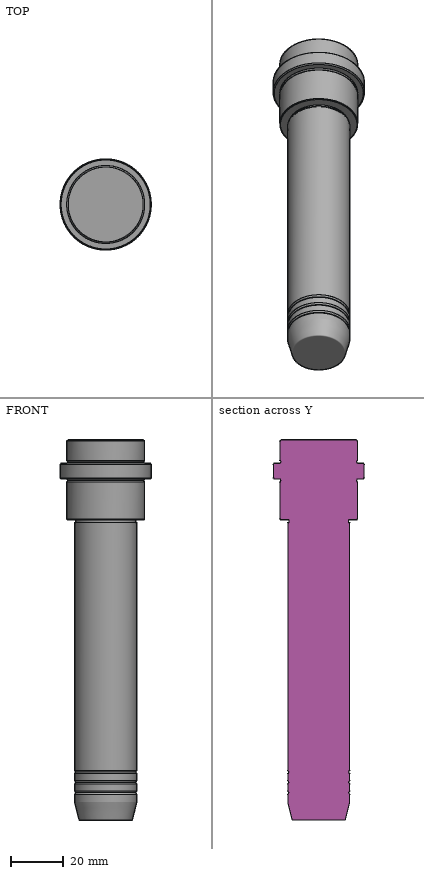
import cadquery as cq

TOTAL_LENGTH = 146.0
FLANGE_DIAMETER = 35.0
HEAD_DIAMETER = 30.0
SHAFT_DIAMETER = 24.0

HEAD_ABOVE_FLANGE = 9.0
FLANGE_THICKNESS = 6.1
COLLAR_BELOW_FLANGE = 15.6

TAPER_LENGTH = 7.0
TIP_RADIUS = 10.2
TIP_FILLET = 0.5

HEAD_CHAMFER = 0.6
COLLAR_CHAMFER = 0.3
FLANGE_CHAMFER = 0.5

RELIEF_WIDTH = 1.0
RELIEF_DEPTH = 0.5

GROOVE_COUNT = 3
GROOVE_PITCH = 4.0
GROOVE_WIDTH = 1.3
GROOVE_DEPTH = 0.5
FIRST_GROOVE_HEIGHT = 10.7

FLANGE_RADIUS = FLANGE_DIAMETER / 2
HEAD_RADIUS = HEAD_DIAMETER / 2
SHAFT_RADIUS = SHAFT_DIAMETER / 2

flange_top = TOTAL_LENGTH - HEAD_ABOVE_FLANGE
flange_bottom = flange_top - FLANGE_THICKNESS
collar_bottom = flange_bottom - COLLAR_BELOW_FLANGE


def cylinder(radius, bottom, top):
    """Solid cylinder on the Z axis between two levels."""
    return cq.Workplane("XY").workplane(offset=bottom).circle(radius).extrude(top - bottom)


def make_shaft():
    """Shaft with a conical lead-in and a rounded tip edge."""
    profile = (
        cq.Workplane("XZ")
        .lineTo(TIP_RADIUS, 0)
        .lineTo(SHAFT_RADIUS, TAPER_LENGTH)
        .lineTo(SHAFT_RADIUS, collar_bottom)
        .lineTo(0, collar_bottom)
        .close()
    )
    return profile.revolve(360, (0, 0, 0), (0, 1, 0)).faces("<Z").edges().fillet(TIP_FILLET)


def make_head():
    """Chamfered head cylinder with the flange around it."""
    core = cylinder(HEAD_RADIUS, collar_bottom, TOTAL_LENGTH)
    core = core.faces(">Z").edges().chamfer(HEAD_CHAMFER)
    core = core.faces("<Z").edges().chamfer(COLLAR_CHAMFER)
    flange = cylinder(FLANGE_RADIUS, flange_bottom, flange_top)
    flange = flange.faces("<Z or >Z").edges().chamfer(FLANGE_CHAMFER)
    return core.union(flange)


def shaft_relief():
    """Ring that cuts a square relief groove into the shaft just below the collar."""
    bottom = collar_bottom - RELIEF_WIDTH
    outer = cylinder(SHAFT_RADIUS, bottom, collar_bottom)
    return outer.cut(cylinder(SHAFT_RADIUS - RELIEF_DEPTH, bottom, collar_bottom))


def vee_groove(radius, height, width, depth):
    """Ring that cuts a V-shaped groove into a cylinder, centred at the given height."""
    return (
        cq.Workplane("XZ")
        .moveTo(radius, height - width / 2)
        .lineTo(radius - depth, height)
        .lineTo(radius, height + width / 2)
        .close()
        .revolve(360, (0, 0, 0), (0, 1, 0))
    )


result = make_shaft().union(make_head()).cut(shaft_relief())

for relief_height in (flange_top + RELIEF_WIDTH / 2, flange_bottom - RELIEF_WIDTH / 2):
    result = result.cut(vee_groove(HEAD_RADIUS, relief_height, RELIEF_WIDTH, RELIEF_DEPTH))

for index in range(GROOVE_COUNT):
    groove_height = FIRST_GROOVE_HEIGHT + index * GROOVE_PITCH
    result = result.cut(vee_groove(SHAFT_RADIUS, groove_height, GROOVE_WIDTH, GROOVE_DEPTH))